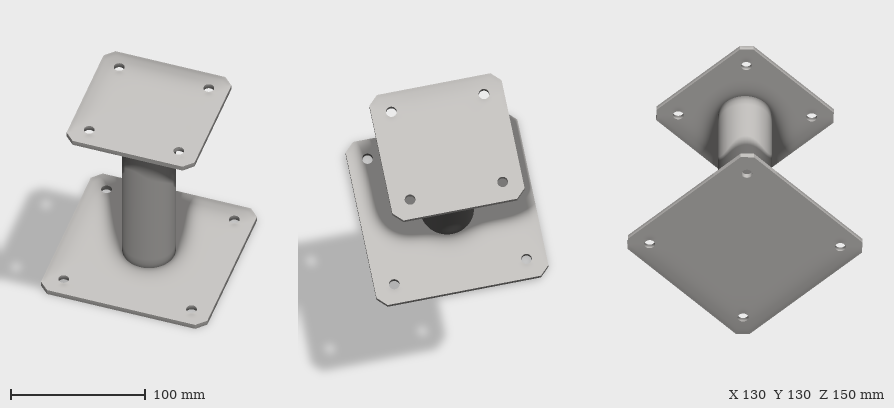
import cadquery as cq

total_height = 150.0
base_side = 130.0
top_side = 100.0
plate_thickness = 4.0
corner_chamfer = 7.0
post_diameter = 40.0
hole_diameter = 8.0
base_hole_spacing = 100.0
top_hole_spacing = 70.0

post_height = total_height - 2 * plate_thickness


def mounting_plate(side, hole_spacing, bottom_z):
    """Square plate with cut corners and one through hole near each corner."""
    return (
        cq.Workplane("XY")
        .box(side, side, plate_thickness, centered=(True, True, False))
        .edges("|Z")
        .chamfer(corner_chamfer)
        .faces(">Z")
        .workplane()
        .rect(hole_spacing, hole_spacing, forConstruction=True)
        .vertices()
        .hole(hole_diameter)
        .translate((0, 0, bottom_z))
    )


base_plate = mounting_plate(base_side, base_hole_spacing, 0)
top_plate = mounting_plate(top_side, top_hole_spacing, total_height - plate_thickness)

post = (
    cq.Workplane("XY")
    .workplane(offset=plate_thickness)
    .circle(post_diameter / 2)
    .extrude(post_height)
)

result = base_plate.union(post).union(top_plate)